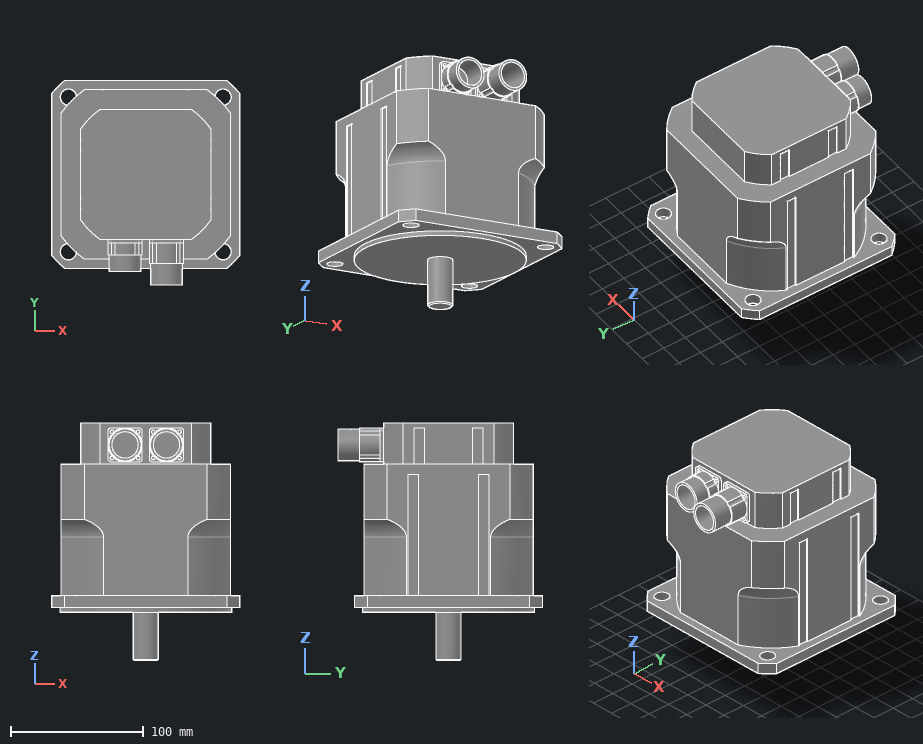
import cadquery as cq

total_height = 179.5
pilot_bottom_z = 36.5
flange_bottom_z = 40.0
flange_top_z = 49.2
scoop_bottom_z = 93.2
scoop_top_z = 106.6
housing_top_z = 148.3

flange_width = 142.0
flange_corner_diameter = 187.4
housing_width = 128.0
housing_corner_diameter = 158.0
waist_diameter = 142.9
cap_width = 98.2
cap_corner_diameter = 119.9

pilot_diameter = 130.0
shaft_diameter = 19.0
shaft_chamfer = 1.0
mount_hole_diameter = 12.0
mount_hole_offset = 58.3

groove_width = 8.0
groove_depth = 1.0
housing_groove_offset = 26.5
housing_groove_top_z = 140.4
cap_groove_offset = 22.0
cap_groove_top_z = 175.5

connector_offset = 15.6
connector_z = 162.8
connector_width = 25.7
plate_thickness = 2.7
plate_corner_radius = 2.3
screw_hole_diameter = 2.7
screw_offset = 9.9
screw_relief_diameter = 4.8
barrel_diameter = 24.0
bore_diameter = 20.0
short_collar_end = 11.8
short_length = 24.2
long_collar_end = 18.0
long_length = 34.5


def disc(diameter, bottom_z, top_z):
    return cq.Workplane("XY").workplane(offset=bottom_z).circle(diameter / 2).extrude(top_z - bottom_z)


def turned_square(width, corner_diameter, bottom_z, top_z):
    """Square block whose corners are rounded by a cylinder about the Z axis."""
    block = cq.Workplane("XY").workplane(offset=bottom_z).rect(width, width).extrude(top_z - bottom_z)
    return block.intersect(disc(corner_diameter, bottom_z, top_z))


def corner_scoop_cutter():
    """Ring that narrows the lower housing corners to the waist, ending in a concave arc."""
    waist_radius = waist_diameter / 2
    outer_radius = housing_corner_diameter / 2
    step = outer_radius - waist_radius
    rise = scoop_top_z - scoop_bottom_z
    arc_radius = (step**2 + rise**2) / (2 * step)
    half_step = step / 2
    mid_rise = (arc_radius**2 - (arc_radius - half_step) ** 2) ** 0.5
    clear_radius = outer_radius + step
    return (
        cq.Workplane("XZ")
        .moveTo(waist_radius, flange_top_z)
        .lineTo(waist_radius, scoop_bottom_z)
        .threePointArc(
            (waist_radius + half_step, scoop_bottom_z + mid_rise),
            (outer_radius, scoop_top_z),
        )
        .lineTo(clear_radius, scoop_top_z)
        .lineTo(clear_radius, flange_top_z)
        .close()
        .revolve(360, (0, 0, 0), (0, 1, 0))
    )


def side_grooves(width, offset, bottom_z, top_z):
    """Four vertical groove cutters, two in each X side of a block of the given width."""
    centres = [(sx * width / 2, sy * offset) for sx in (-1, 1) for sy in (-1, 1)]
    return (
        cq.Workplane("XY")
        .workplane(offset=bottom_z)
        .pushPoints(centres)
        .rect(2 * groove_depth, groove_width)
        .extrude(top_z - bottom_z)
    )


def make_flange():
    flange = turned_square(flange_width, flange_corner_diameter, flange_bottom_z, flange_top_z)
    holes = (
        cq.Workplane("XY")
        .workplane(offset=flange_bottom_z)
        .rect(2 * mount_hole_offset, 2 * mount_hole_offset, forConstruction=True)
        .vertices()
        .circle(mount_hole_diameter / 2)
        .extrude(flange_top_z - flange_bottom_z)
    )
    return flange.cut(holes)


def make_housing():
    housing = turned_square(housing_width, housing_corner_diameter, flange_top_z, housing_top_z)
    grooves = side_grooves(housing_width, housing_groove_offset, flange_top_z, housing_groove_top_z)
    return housing.cut(corner_scoop_cutter()).cut(grooves)


def make_cap():
    cap = turned_square(cap_width, cap_corner_diameter, housing_top_z, total_height)
    return cap.cut(side_grooves(cap_width, cap_groove_offset, housing_top_z, cap_groove_top_z))


def make_motor():
    shaft = disc(shaft_diameter, 0, pilot_bottom_z).faces("<Z").chamfer(shaft_chamfer)
    pilot = disc(pilot_diameter, pilot_bottom_z, flange_bottom_z)
    return make_housing().union(make_flange()).union(make_cap()).union(pilot).union(shaft)


def make_connector(x, collar_end, length):
    """Connector on the cap face; collar_end and length are distances from that face along -Y."""
    face = cq.Workplane("XZ", origin=(x, -cap_width / 2, connector_z))
    front = face.workplane(offset=plate_thickness)
    screws = [(sx * screw_offset, sz * screw_offset) for sx in (-1, 1) for sz in (-1, 1)]

    plate = face.rect(connector_width, connector_width).extrude(plate_thickness)
    plate = plate.edges("|Y").fillet(plate_corner_radius)
    screw_holes = face.pushPoints(screws).circle(screw_hole_diameter / 2).extrude(plate_thickness)

    collar_length = collar_end - plate_thickness
    collar = front.circle(connector_width / 2).extrude(collar_length)
    barrel = front.circle(barrel_diameter / 2).extrude(length - plate_thickness)
    bore = front.circle(bore_diameter / 2).extrude(length - plate_thickness)
    reliefs = front.pushPoints(screws).circle(screw_relief_diameter / 2).extrude(collar_length)

    return plate.cut(screw_holes).union(collar.union(barrel).cut(reliefs).cut(bore))


motor = make_motor()
connectors = [
    make_connector(x, collar_end, length)
    for x, collar_end, length in (
        (-connector_offset, short_collar_end, short_length),
        (connector_offset, long_collar_end, long_length),
    )
]

result = cq.Compound.makeCompound([motor.val(), *[connector.val() for connector in connectors]])